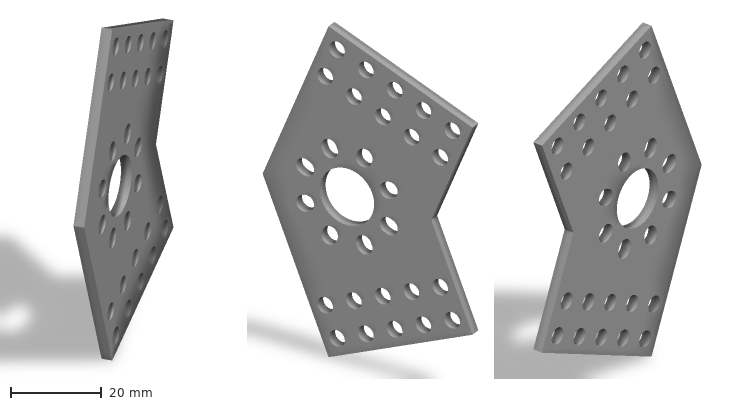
import cadquery as cq
import math

height = 81.8
arm_width = 40.0
thickness = 2.5
arm_tilt = 22.5

hole_columns = 5
hole_rows = 2
hole_pitch = arm_width / hole_columns
edge_margin = hole_pitch / 2
hole_diameter = 4.0

bore_diameter = 14.0
slot_count = 8
slot_ring_radius = 11.6
slot_length = 4.7
slot_width = hole_diameter

tilt_cos = math.cos(math.radians(arm_tilt))
tilt_sin = math.sin(math.radians(arm_tilt))
arm_length = height / 2 / tilt_cos
mitre_length = arm_width / tilt_cos
total_depth = arm_length * tilt_sin + arm_width * tilt_cos
tip_y = -total_depth / 2
bore_y = tip_y + mitre_length / 2


def back_face():
    """Workplane on the -X face of the plate, with local axes along Y and Z."""
    return cq.Workplane("YZ", origin=(-thickness / 2, 0, 0))


def arm_point(along, across, side):
    """(Y, Z) of a point on the upper (side=1) or lower (side=-1) arm, measured from the tip."""
    y = tip_y + along * tilt_sin + across * tilt_cos
    z = along * tilt_cos - across * tilt_sin
    return (y, side * z)


def make_plate():
    outline = [
        (tip_y, 0),
        arm_point(arm_length, 0, 1),
        arm_point(arm_length, arm_width, 1),
        (tip_y + mitre_length, 0),
        arm_point(arm_length, arm_width, -1),
        arm_point(arm_length, 0, -1),
    ]
    return back_face().polyline(outline).close().extrude(thickness)


def make_arm_holes():
    centers = [
        arm_point(
            arm_length - edge_margin - row * hole_pitch,
            edge_margin + column * hole_pitch,
            side,
        )
        for side in (1, -1)
        for row in range(hole_rows)
        for column in range(hole_columns)
    ]
    return back_face().pushPoints(centers).circle(hole_diameter / 2).extrude(thickness)


def make_bore_and_slots():
    center = back_face().center(bore_y, 0)
    bore = center.circle(bore_diameter / 2).extrude(thickness)
    slots = (
        center.polarArray(slot_ring_radius, 180 / slot_count, 360, slot_count)
        .slot2D(slot_length, slot_width)
        .extrude(thickness)
    )
    return bore.union(slots)


result = make_plate().cut(make_arm_holes()).cut(make_bore_and_slots())